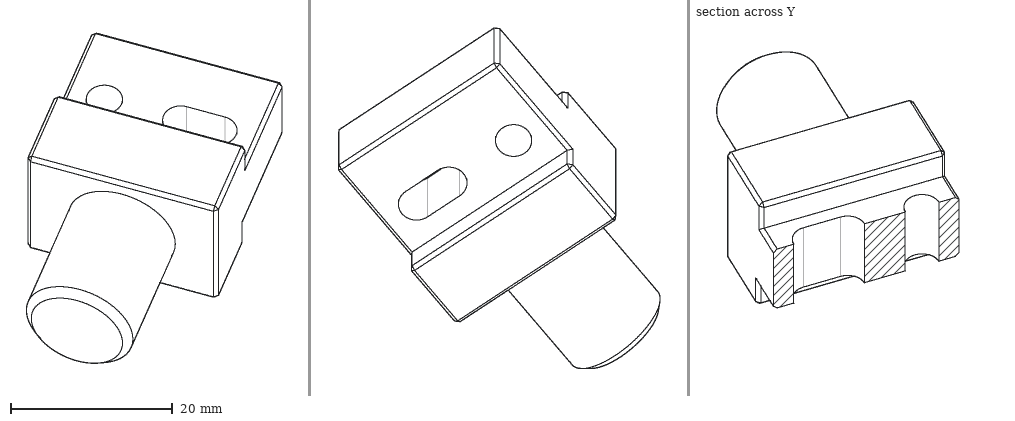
import cadquery as cq

overall_length = 42.0

block_width = 25.0
block_depth = 25.0
block_height = 18.0
edge_chamfer = 0.5

head_depth_top = 10.9
head_depth_bottom = 9.9
step_height = 4.0

pin_diameter = 14.0
pin_length = overall_length - block_depth
pin_chamfer = 1.0

hole_diameter = 4.5
hole_row_from_back = 10.0
hole_x = -7.5
slot_x = 5.0
slot_length = 9.5


def stepped_block():
    """Side profile extruded across X, with every outer edge chamfered."""
    half_height = block_height / 2
    tongue_half_height = half_height - step_height
    block = (
        cq.Workplane("YZ")
        .moveTo(0, -half_height)
        .lineTo(head_depth_bottom, -half_height)
        .lineTo(head_depth_bottom, -tongue_half_height)
        .lineTo(block_depth, -tongue_half_height)
        .lineTo(block_depth, tongue_half_height)
        .lineTo(head_depth_top, tongue_half_height)
        .lineTo(head_depth_top, half_height)
        .lineTo(0, half_height)
        .close()
        .extrude(block_width / 2, both=True)
    )
    side_edges = block.faces("<X or >X").edges()
    cross_edges = block.edges("|X").filter(
        lambda edge: abs(edge.Center().z) > half_height - edge_chamfer
        or edge.Center().y > block_depth - edge_chamfer
    )
    return side_edges.add(cross_edges).chamfer(edge_chamfer)


def pin():
    """Pin along -Y with a chamfered free end."""
    return (
        cq.Workplane("XZ")
        .circle(pin_diameter / 2)
        .extrude(pin_length)
        .faces("<Y")
        .chamfer(pin_chamfer)
    )


def tongue_openings():
    """Cutters for the round hole and the slot, in one row across X."""
    row_y = block_depth - hole_row_from_back
    base = cq.Workplane("XY", origin=(0, row_y, -block_height / 2))
    hole = base.center(hole_x, 0).circle(hole_diameter / 2).extrude(block_height)
    slot = base.center(slot_x, 0).slot2D(slot_length, hole_diameter).extrude(block_height)
    return hole.union(slot)


result = stepped_block().union(pin()).cut(tongue_openings())